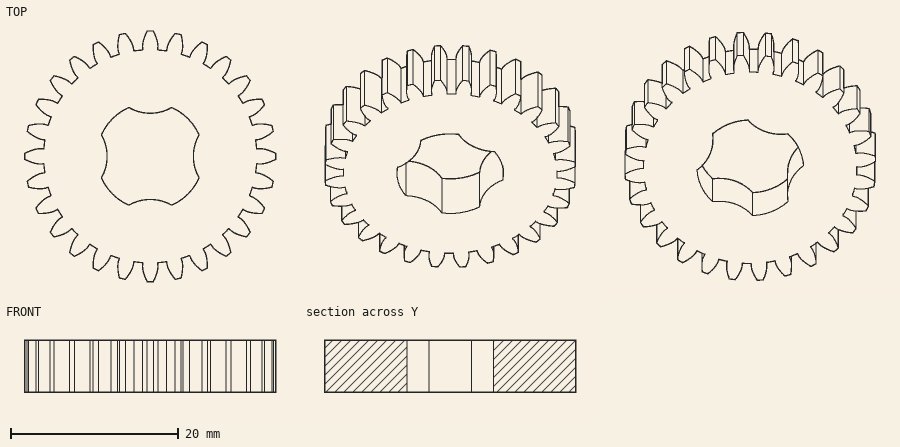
import cadquery as cq
import math

tooth_count = 28
outer_diameter = 30.0
face_width = 6.25
pressure_angle = math.radians(20)
dedendum_factor = 1.25

module = outer_diameter / (tooth_count + 2)
outer_radius = outer_diameter / 2
pitch_radius = module * tooth_count / 2
root_radius = pitch_radius - dedendum_factor * module
base_radius = pitch_radius * math.cos(pressure_angle)
flank_steps = 8

bore_radius = 6.35
lobe_count = 4
lobe_reach_radius = 5.13
lobe_radius = 5.1


def polar(radius, angle):
    return (radius * math.cos(angle), radius * math.sin(angle))


def involute(angle):
    return math.tan(angle) - angle


def flank_half_angle(radius):
    """Half of the angle a tooth spans at the given radius."""
    roll = math.acos(base_radius / radius)
    return math.pi / (2 * tooth_count) + involute(pressure_angle) - involute(roll)


def gear_blank():
    """Toothed disc: involute flanks, radial below the base circle, with a tooth on the X axis."""
    pitch_angle = 2 * math.pi / tooth_count
    base_half_angle = flank_half_angle(base_radius)
    step = (outer_radius - base_radius) / flank_steps
    radii = [base_radius + step * i for i in range(flank_steps + 1)]

    outline = cq.Workplane("XY").moveTo(*polar(root_radius, -base_half_angle))
    for tooth in range(tooth_count):
        center = tooth * pitch_angle
        rising = [polar(r, center - flank_half_angle(r)) for r in radii]
        falling = [polar(r, center + flank_half_angle(r)) for r in reversed(radii)]
        next_root = center + pitch_angle - base_half_angle

        outline = outline.lineTo(*rising[0]).spline(rising[1:], includeCurrent=True)
        outline = outline.threePointArc(polar(outer_radius, center), falling[0])
        outline = outline.spline(falling[1:], includeCurrent=True)
        outline = outline.lineTo(*polar(root_radius, center + base_half_angle))
        outline = outline.threePointArc(
            polar(root_radius, center + pitch_angle / 2), polar(root_radius, next_root)
        )
    return outline.close().extrude(face_width)


def bore():
    """Cutter for the round hole, less the four lobes that stay in the gear."""
    lobes = (
        cq.Workplane("XY")
        .polarArray(lobe_reach_radius + lobe_radius, 0, 360, lobe_count)
        .circle(lobe_radius)
        .extrude(face_width)
    )
    return cq.Workplane("XY").circle(bore_radius).extrude(face_width).cut(lobes)


result = gear_blank().cut(bore())